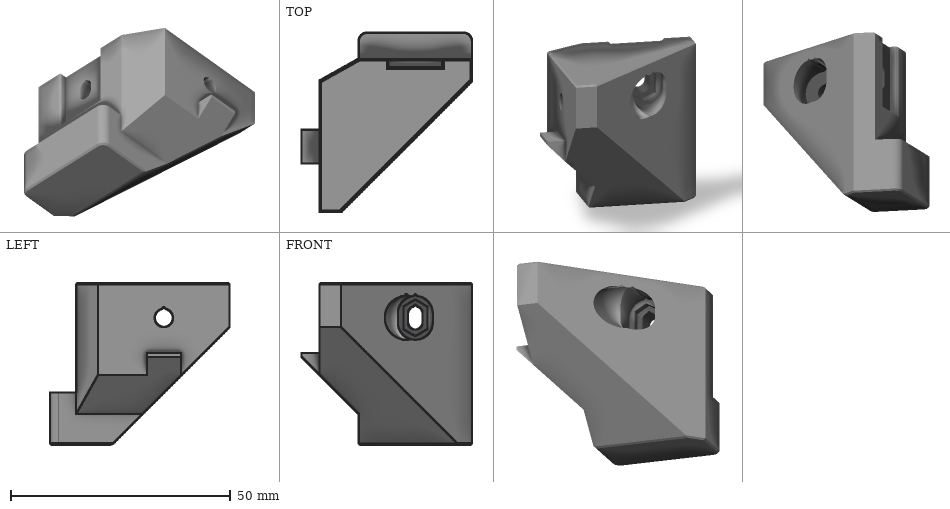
import cadquery as cq
import math

width = 34.85
total_depth = 41.0
height = 37.0
flange_depth = 6.0
body_depth = total_depth - flange_depth
front_face_width = 4.9
side_face_depth = 30.0
lower_left = 8.95
left_face_bottom = 16.0
front_face_bottom = 26.9
edge_chamfer = 0.4

flange_height = 11.97
flange_radius = 2.0

tab_length = 4.1
tab_width = 7.8
tab_front = 11.05
tab_top = 21.0

hole_height = 29.0
peak_rise = 0.4
side_hole_y = 15.0
side_hole_diameter = 4.1
side_bore_diameter = 10.0
side_bore_floor = 5.0
back_hole_x = 21.9
back_hole_diameter = 3.3
back_bore_diameter = 8.0
back_bore_floor = 26.0
slot_travel = 2.0
nut_flats = 5.5
nut_depth = 2.0

notch_width = 12.2
notch_depth = 1.9
notch_floor = 21.0


def box(x, y, z, dx, dy, dz):
    return cq.Workplane("XY").box(dx, dy, dz, centered=False).translate((x, y, z))


def extrude_y(profile, start, end):
    """Extrude a sketch drawn in (X, Z) between two Y positions."""
    return profile.extrude(start - end).translate((0, start, 0))


def make_body():
    outline = [
        (0, 0),
        (front_face_width, 0),
        (width, width - front_face_width),
        (width, body_depth),
        (lower_left, body_depth),
        (0, side_face_depth),
    ]
    body = cq.Workplane("XY").polyline(outline).close().extrude(height)
    notch = box(back_hole_x - notch_width / 2, body_depth - notch_depth, notch_floor,
                notch_width, notch_depth, height - notch_floor)
    body = body.cut(notch)
    margin = 0.05
    opening = cq.selectors.BoxSelector(
        (back_hole_x - notch_width / 2 - margin, body_depth - margin, notch_floor - margin),
        (back_hole_x + notch_width / 2 + margin, body_depth + margin, height - margin),
    )
    rim = body.faces(">Z").edges()
    return rim.add(body.edges(opening)).chamfer(edge_chamfer)


def make_flange():
    flange = box(lower_left, side_face_depth, 0,
                 width - lower_left, total_depth - side_face_depth, flange_height)
    return flange.edges("|Z and >Y").fillet(flange_radius)


def cut_undersides(body):
    left_points = [
        (0, 0),
        (lower_left, 0),
        (lower_left, left_face_bottom - lower_left),
        (0, left_face_bottom),
    ]
    left = extrude_y(cq.Workplane("XZ").polyline(left_points).close(), 0, total_depth)
    front_points = [(0, 0), (front_face_bottom, 0), (0, front_face_bottom)]
    front = cq.Workplane("YZ").polyline(front_points).close().extrude(width)
    return body.cut(left).cut(front)


def make_tab():
    points = [
        (0, left_face_bottom),
        (0, tab_top),
        (-tab_length, tab_top),
        (-tab_length, left_face_bottom + tab_length),
    ]
    profile = cq.Workplane("XZ").polyline(points).close()
    return extrude_y(profile, tab_front, tab_front + tab_width)


def peaked_slot(plane, across, diameter, travel):
    """Vertical slot outline, or a circle for zero travel, with a 45 degree peak on top."""
    radius = diameter / 2
    low = hole_height - travel / 2
    high = hole_height + travel / 2
    peak = radius + peak_rise
    half = (peak - math.sqrt(2 * radius**2 - peak**2)) / 2
    rise = peak - half
    sketch = cq.Workplane(plane).moveTo(across - radius, low)
    sketch = sketch.threePointArc((across, low - radius), (across + radius, low))
    if travel > 0:
        sketch = sketch.lineTo(across + radius, high)
    diagonal = radius / math.sqrt(2)
    sketch = sketch.threePointArc((across + diagonal, high + diagonal), (across + half, high + rise))
    sketch = sketch.lineTo(across, high + peak).lineTo(across - half, high + rise)
    sketch = sketch.threePointArc((across - diagonal, high + diagonal), (across - radius, high))
    return sketch.close()


def make_side_hole():
    hole = peaked_slot("YZ", side_hole_y, side_hole_diameter, 0).extrude(width)
    bore = peaked_slot("YZ", side_hole_y, side_bore_diameter, 0).extrude(width - side_bore_floor)
    return hole.union(bore.translate((side_bore_floor, 0, 0)))


def make_back_hole():
    hole = extrude_y(peaked_slot("XZ", back_hole_x, back_hole_diameter, slot_travel), 0, body_depth)
    bore = extrude_y(peaked_slot("XZ", back_hole_x, back_bore_diameter, slot_travel), 0, back_bore_floor)
    half_flats = nut_flats / 2
    side_end = half_flats / math.sqrt(3) + slot_travel / 2
    tip = nut_flats / math.sqrt(3) + slot_travel / 2
    points = [
        (back_hole_x, hole_height + tip),
        (back_hole_x + half_flats, hole_height + side_end),
        (back_hole_x + half_flats, hole_height - side_end),
        (back_hole_x, hole_height - tip),
        (back_hole_x - half_flats, hole_height - side_end),
        (back_hole_x - half_flats, hole_height + side_end),
    ]
    nut = cq.Workplane("XZ").polyline(points).close()
    return hole.union(bore).union(extrude_y(nut, back_bore_floor, back_bore_floor + nut_depth))


result = cut_undersides(make_body().union(make_flange()))
result = result.faces("<Z").chamfer(edge_chamfer)
result = result.union(make_tab()).cut(make_side_hole()).cut(make_back_hole())